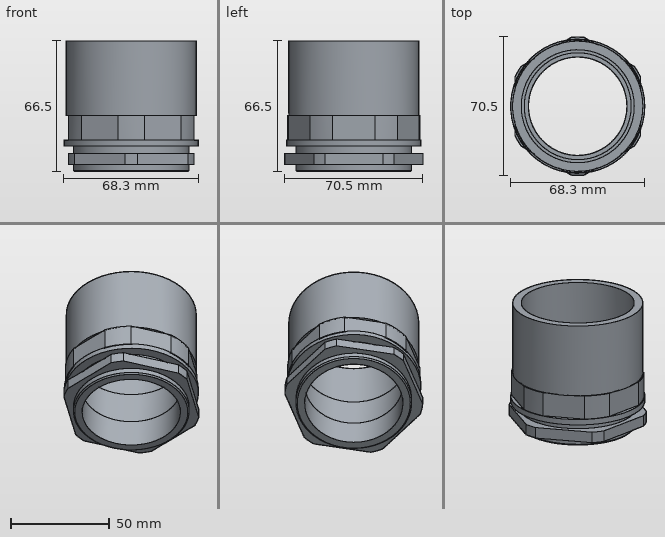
import cadquery as cq
import math

TOTAL_HEIGHT = 66.5
NUT_BOTTOM = 3.5
NUT_HEIGHT = 5.7
FLANGE_BOTTOM = 13.05
FLANGE_HEIGHT = 2.95
HEX_HEIGHT = 12.55
FLANGE_TOP = FLANGE_BOTTOM + FLANGE_HEIGHT
HEX_TOP = FLANGE_TOP + HEX_HEIGHT

SPIGOT_DIAMETER = 58.9
SPIGOT_CHAMFER = 0.7
FLANGE_DIAMETER = 68.3
SLEEVE_DIAMETER = 66.25
WRENCH_SIZE = 64.0
BODY_HEX_CORNER_DIAMETER = 67.5
NUT_CORNER_DIAMETER = 70.5

SOCKET_DIAMETER = 57.5
SEAT_DIAMETER = 54.4
BORE_DIAMETER = 49.95
SOCKET_FLOOR = 36.5
SEAT_FLOOR = FLANGE_TOP


def cylinder(diameter, bottom, top):
    return cq.Workplane("XY").workplane(offset=bottom).circle(diameter / 2).extrude(top - bottom)


def rounded_hexagon(corner_diameter, bottom, top):
    """Hexagonal prism with corners on the Y axis, turned down to a corner diameter."""
    sharp_corner_diameter = WRENCH_SIZE / math.cos(math.pi / 6)
    hexagon = (
        cq.Workplane("XY")
        .workplane(offset=bottom)
        .transformed(rotate=(0, 0, 90))
        .polygon(6, sharp_corner_diameter)
        .extrude(top - bottom)
    )
    return hexagon.intersect(cylinder(corner_diameter, bottom, top))


def make_body():
    """Gland body: chamfered spigot, flange, hexagon and sleeve around a stepped bore."""
    spigot = cylinder(SPIGOT_DIAMETER, 0, FLANGE_BOTTOM).faces("<Z").chamfer(SPIGOT_CHAMFER)
    flange = cylinder(FLANGE_DIAMETER, FLANGE_BOTTOM, FLANGE_TOP)
    hexagon = rounded_hexagon(BODY_HEX_CORNER_DIAMETER, FLANGE_TOP, HEX_TOP)
    sleeve = cylinder(SLEEVE_DIAMETER, HEX_TOP, TOTAL_HEIGHT)
    outside = spigot.union(flange).union(hexagon).union(sleeve)

    bore = cylinder(BORE_DIAMETER, 0, TOTAL_HEIGHT)
    seat = cylinder(SEAT_DIAMETER, SEAT_FLOOR, TOTAL_HEIGHT)
    socket = cylinder(SOCKET_DIAMETER, SOCKET_FLOOR, TOTAL_HEIGHT)
    return outside.cut(bore).cut(seat).cut(socket)


def make_locknut():
    """Thin hexagonal nut that fits closely around the spigot."""
    nut_top = NUT_BOTTOM + NUT_HEIGHT
    hexagon = rounded_hexagon(NUT_CORNER_DIAMETER, NUT_BOTTOM, nut_top)
    return hexagon.cut(cylinder(SPIGOT_DIAMETER, NUT_BOTTOM, nut_top))


body = make_body()
locknut = make_locknut()

result = cq.Compound.makeCompound([body.val(), locknut.val()])